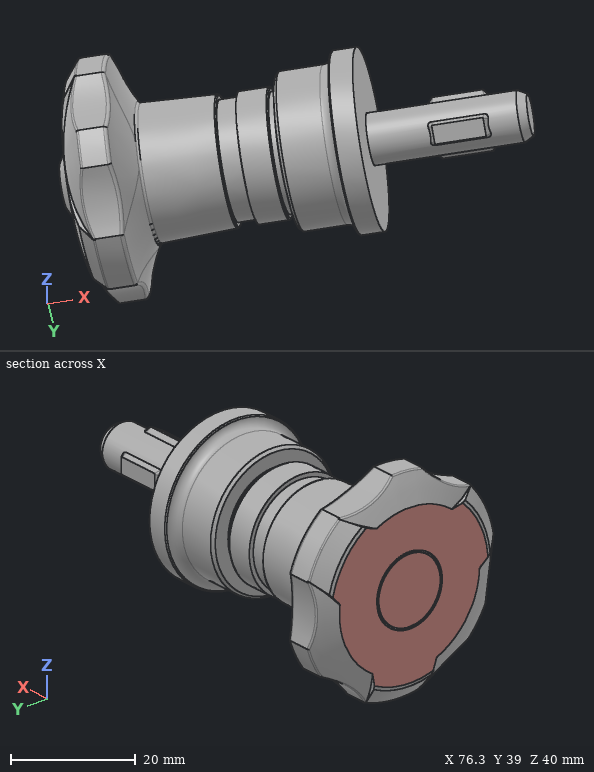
import cadquery as cq
import math


KNOB_RADIUS = 20.0
KNOB_FACE_X = 1.9
KNOB_RIM_FRONT_X = 5.7
KNOB_RIM_REAR_X = 10.5
KNOB_BACK_END_X = 13.9
DISH_RADIUS = 10.1
DISH_DEPTH = 1.15
DOME_BREAK_X = 3.4
DOME_BREAK_RADIUS = 17.1
DOME_ARC_MIDDLE = (2.5, 14.3)
BACK_ARC_MIDDLE = (12.2, 14.9)
LOBE_TILT = 4.5
LOBE_SETS = 3
LOBE_STEP = 180 / LOBE_SETS
NARROW_LOBE_ANGLES = [2 * i * LOBE_STEP for i in range(LOBE_SETS)]
SCALLOP_OFFSET = 26.2
SCALLOP_CURVE = 19.85
SCALLOP_FLOOR_RADIUS = 18.25
FRONT_RIM_ROUND = 0.4
REAR_RIM_ROUND = 0.6
RIM_EDGE_MIN_RADIUS = 17.2
RIM_EDGE_MAX_DEPTH = 2.3

HOLLOW_CURVE = 33.6
HOLLOW_INNER_RADIUS = 11.45
HOLLOW_START_X = 1.9
HOLLOW_START_RADIUS = 10.9
HOLLOW_ARC_MIDDLE = (3.7, 15.8)

BUTTON_RADIUS = 6.5
BUTTON_TIP_RADIUS = 3.75
BUTTON_CHAMFER_X = 1.45
BUTTON_GAP = 0.3
BUTTON_GAP_DEPTH = 0.4

NECK_BLEND_LENGTH = 0.45
NECK_BLEND_HEIGHT = 0.3
NECK_FRONT_RADIUS = 11.45
NECK_REAR_RADIUS = 10.9
NECK_END_X = 27.0
GROOVE_RADIUS = 10.0
RING_START_X = 30.3
RING_END_X = 35.5
RING_RADIUS = 10.85
SMALL_CHAMFER = 0.2
UNDERCUT_START_X = 36.4
UNDERCUT_RADIUS = 9.85

COLLAR_START_X = 36.8
COLLAR_RADIUS = 13.05
COLLAR_CHAMFER = 0.5
FLANGE_START_X = 46.2
FLANGE_END_X = 50.25
FLANGE_RADIUS = 15.05
FLANGE_FILLET = 1.75

SHAFT_RADIUS = 4.3
SHAFT_END_X = 76.35
SHAFT_TIP_LENGTH = 1.5
SHAFT_TIP_RADIUS = 3.4
KEY_COUNT = 3
KEY_CENTRE_X = 65.1
KEY_TOP_RADIUS = 5.0
KEY_ROOT_RADIUS = 3.7
KEY_TOP_LENGTH = 8.4
KEY_TOP_WIDTH = 3.1
KEY_TOP_CORNER = 0.15
KEY_ROOT_LENGTH = 10.5
KEY_ROOT_WIDTH = 4.0
KEY_ROOT_CORNER = 0.9


def revolve_about_x(profile):
    return profile.close().revolve(360, (0, 0, 0), (1, 0, 0))


def turned_about_x(shape, angle):
    return shape.rotate((0, 0, 0), (1, 0, 0), angle)


def cylinder_along_x(radius, centre_z):
    """Cylinder parallel to X, spanning the full depth of the knob."""
    return cq.Workplane("YZ").center(0, centre_z).circle(radius).extrude(KNOB_BACK_END_X)


def rim_edges(body, start_x, end_x):
    """Edges running round the lobes with their middle between two depths."""
    found = []
    for edge in body.edges().vals():
        middle = edge.positionAt(0.5)
        is_outer = math.hypot(middle.y, middle.z) > RIM_EDGE_MIN_RADIUS
        is_flat = edge.BoundingBox().xlen < RIM_EDGE_MAX_DEPTH
        if is_outer and is_flat and start_x < middle.x < end_x:
            found.append(edge)
    return body.newObject(found)


def dome_profile():
    """Half section of the knob's front: button, dish and full dome, up to the rim."""
    dish_floor_x = KNOB_FACE_X + DISH_DEPTH
    gap_bottom_x = dish_floor_x + BUTTON_GAP_DEPTH
    gap_radius = BUTTON_RADIUS + BUTTON_GAP
    return (
        cq.Workplane("XY")
        .lineTo(0, BUTTON_TIP_RADIUS)
        .lineTo(BUTTON_CHAMFER_X, BUTTON_RADIUS)
        .lineTo(gap_bottom_x, BUTTON_RADIUS)
        .lineTo(gap_bottom_x, gap_radius)
        .lineTo(dish_floor_x, gap_radius)
        .lineTo(KNOB_FACE_X, DISH_RADIUS)
        .threePointArc(DOME_ARC_MIDDLE, (DOME_BREAK_X, DOME_BREAK_RADIUS))
        .lineTo(KNOB_RIM_FRONT_X, KNOB_RADIUS)
    )


def hollow_profile():
    """Half section of the knob's front along the floor of the hollows, up to the rim."""
    return (
        cq.Workplane("XY")
        .moveTo(HOLLOW_START_X, 0)
        .lineTo(HOLLOW_START_X, HOLLOW_START_RADIUS)
        .threePointArc(HOLLOW_ARC_MIDDLE, (KNOB_RIM_FRONT_X, KNOB_RADIUS))
    )


def lobed_body(front_profile):
    """Turned knob with the given front, its rim scalloped into lobes and rounded."""
    body = revolve_about_x(
        front_profile
        .lineTo(KNOB_RIM_REAR_X, KNOB_RADIUS)
        .threePointArc(BACK_ARC_MIDDLE, (KNOB_BACK_END_X, NECK_FRONT_RADIUS + NECK_BLEND_HEIGHT))
        .lineTo(KNOB_BACK_END_X, 0)
    )
    body = turned_about_x(body, LOBE_STEP / 2)
    scallop = cylinder_along_x(SCALLOP_CURVE, SCALLOP_FLOOR_RADIUS + SCALLOP_CURVE)
    for lobe_angle in NARROW_LOBE_ANGLES:
        for side in (-1, 1):
            body = body.cut(turned_about_x(scallop, lobe_angle + side * SCALLOP_OFFSET))
    rim_middle_x = (KNOB_RIM_FRONT_X + KNOB_RIM_REAR_X) / 2
    body = rim_edges(body, rim_middle_x, KNOB_BACK_END_X).fillet(REAR_RIM_ROUND)
    return rim_edges(body, DOME_BREAK_X, rim_middle_x).fillet(FRONT_RIM_ROUND)


def knob():
    """Domed knob whose narrow lobes drop to the hollow floor behind a curved wall."""
    domed = lobed_body(dome_profile())
    hollowed = lobed_body(hollow_profile())
    wall = cylinder_along_x(HOLLOW_CURVE, HOLLOW_INNER_RADIUS + HOLLOW_CURVE)
    body = domed
    for lobe_angle in NARROW_LOBE_ANGLES:
        turned_wall = turned_about_x(wall, lobe_angle)
        body = body.cut(turned_wall).union(hollowed.intersect(turned_wall))
    return turned_about_x(body, LOBE_TILT)


def barrel():
    """Neck, ring, collar, flange and shaft in one turned piece."""
    neck_blend_mid = (
        KNOB_BACK_END_X + NECK_BLEND_LENGTH / 3,
        NECK_FRONT_RADIUS + NECK_BLEND_HEIGHT / 3,
    )
    fillet_x = FLANGE_START_X - FLANGE_FILLET
    fillet_mid = FLANGE_FILLET * math.sqrt(0.5)
    profile = (
        cq.Workplane("XY")
        .moveTo(KNOB_BACK_END_X, 0)
        .lineTo(KNOB_BACK_END_X, NECK_FRONT_RADIUS + NECK_BLEND_HEIGHT)
        .threePointArc(neck_blend_mid, (KNOB_BACK_END_X + NECK_BLEND_LENGTH, NECK_FRONT_RADIUS))
        .lineTo(NECK_END_X - SMALL_CHAMFER, NECK_REAR_RADIUS)
        .lineTo(NECK_END_X, NECK_REAR_RADIUS - SMALL_CHAMFER)
        .lineTo(NECK_END_X, GROOVE_RADIUS)
        .lineTo(RING_START_X, GROOVE_RADIUS)
        .lineTo(RING_START_X, RING_RADIUS)
        .lineTo(RING_END_X - SMALL_CHAMFER, RING_RADIUS)
        .lineTo(RING_END_X, RING_RADIUS - SMALL_CHAMFER)
        .lineTo(RING_END_X, GROOVE_RADIUS)
        .lineTo(UNDERCUT_START_X, GROOVE_RADIUS)
        .lineTo(UNDERCUT_START_X, UNDERCUT_RADIUS)
        .lineTo(COLLAR_START_X, UNDERCUT_RADIUS)
        .lineTo(COLLAR_START_X, COLLAR_RADIUS - COLLAR_CHAMFER)
        .lineTo(COLLAR_START_X + COLLAR_CHAMFER, COLLAR_RADIUS)
        .lineTo(fillet_x, COLLAR_RADIUS)
        .threePointArc(
            (fillet_x + fillet_mid, COLLAR_RADIUS + FLANGE_FILLET - fillet_mid),
            (FLANGE_START_X, COLLAR_RADIUS + FLANGE_FILLET),
        )
        .lineTo(FLANGE_START_X + SMALL_CHAMFER, FLANGE_RADIUS)
        .lineTo(FLANGE_END_X, FLANGE_RADIUS)
        .lineTo(FLANGE_END_X, SHAFT_RADIUS)
        .lineTo(SHAFT_END_X - SHAFT_TIP_LENGTH, SHAFT_RADIUS)
        .lineTo(SHAFT_END_X, SHAFT_TIP_RADIUS)
        .lineTo(SHAFT_END_X, 0)
    )
    return revolve_about_x(profile)


def key():
    """Raised key with sloping sides, pointing along +Y."""
    root = cq.Sketch().rect(KEY_ROOT_WIDTH, KEY_ROOT_LENGTH).vertices().fillet(KEY_ROOT_CORNER)
    top = cq.Sketch().rect(KEY_TOP_WIDTH, KEY_TOP_LENGTH).vertices().fillet(KEY_TOP_CORNER)
    height = KEY_TOP_RADIUS - KEY_ROOT_RADIUS
    root_plane = cq.Plane((KEY_CENTRE_X, KEY_ROOT_RADIUS, 0), xDir=(0, 0, 1), normal=(0, 1, 0))
    top_offset = cq.Location(cq.Vector(0, 0, height))
    return cq.Workplane(root_plane).placeSketch(root, top.moved(top_offset)).loft()


result = barrel().union(knob())
for k in range(KEY_COUNT):
    result = result.union(turned_about_x(key(), k * 360 / KEY_COUNT))